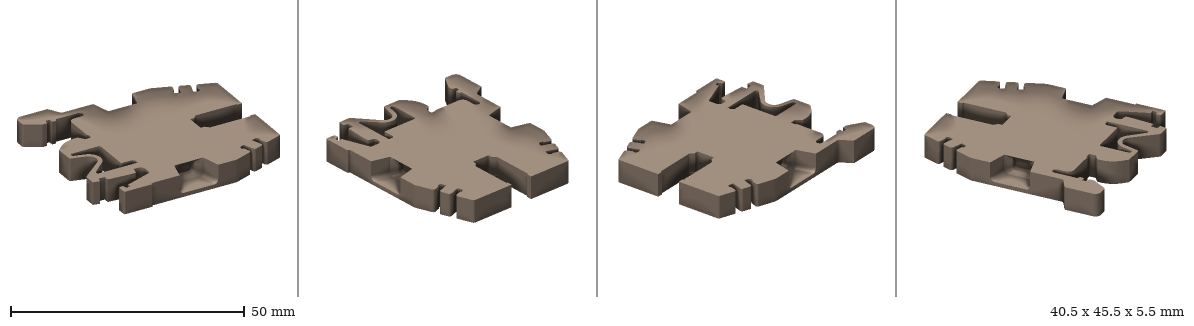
import cadquery as cq
import math

thickness = 5.5
height = 45.5
body_half_width = 18.5
body_bottom = 9.55
floor_thickness = 0.95

flank_angle = math.radians(20)
shoulder_y = 31.85
shoulder_radius = 1.8
top_corner_radius = 0.55
tooth_start = 6.05
tooth_end = 8.8
slot_width = 1.25
slot_head_width = 1.55
slot_head_start = 2.1
slot_depth = 3.15
slot_mouth_radius = 0.55
slot_head_radius = 0.7

lip_half_width = 2.78
lip_height = 1.27
entry_half_width = 3.1
entry_bottom = 34.12
ledge_half_width = 2.25
ledge_chamfer = entry_half_width - ledge_half_width
ledge_bottom = 32.3

left_foot_x = -21.48
right_foot_x = 19.0
catch_y = 6.05
notch_floor_y = 5.05
notch_lip_y = 4.82
left_slit_outer_x = -16.6
left_slit_inner_x = -15.0
left_slit_top = 13.65
left_slit_radius = 0.77
left_foot_root_y = 9.85
left_foot_top = 8.05
left_toe_radius = 1.35
left_toe_end_x = -18.2
left_hook_x = -15.95
left_hook_top = 7.05
left_hook_shoulder_y = 7.4
left_notch_x = -17.05
middle_foot_bottom = 1.0
middle_foot_left_x = -7.15
middle_foot_toe_x = -4.28
middle_foot_shoulder_y = 7.25
middle_foot_bend_y = 3.9
middle_foot_radius = 6.15
neck_x = -5.75
neck_bottom = 8.33
neck_top = 9.85
leg_left_x = 9.05
leg_notch_x = 11.1
leg_slit_x = 12.8
leg_slit_top = 12.8
leg_notch_top = 3.4
hook_bottom = 3.7
arm_hook_x = 16.55
arm_notch_x = 17.55
arm_step_y = 10.75

arch_x = 3.05
arch_y = 4.1
arch_outer_radius = 2.95
arch_inner_radius = 1.95
arch_left_lean = math.radians(15)
arch_inner_slope = math.radians(50)
arch_outer_slope = math.radians(47)
window_left_x = -1.5
window_step_x = 7.5
window_bottom = 2.1

recess_y = 22.48
pocket_half_width = 4.8
pocket_depth = 4.4
pocket_taper = math.radians(15)
pocket_radius = 1.05
funnel_depth = 1.2
roof_drop = 0.7
hole_half_width = 2.2
hole_floor = 1.6
hole_depth = 1.5
hole_radius = 0.8


def rounded_outline(corners):
    """Closed wire through (x, y, radius) corners; each corner is rounded by a tangent arc."""
    wire = None
    for i, (x, y, radius) in enumerate(corners):
        corner = cq.Vector(x, y)
        before = (cq.Vector(*corners[i - 1][:2]) - corner).normalized()
        after = (cq.Vector(*corners[(i + 1) % len(corners)][:2]) - corner).normalized()
        half_angle = before.getAngle(after) / 2
        setback = radius / math.tan(half_angle)
        start = corner + before * setback
        if wire is None:
            wire = cq.Workplane("XY").moveTo(start.x, start.y)
        else:
            wire = wire.lineTo(start.x, start.y)
        if radius > 0:
            bisector = (before + after).normalized()
            middle = corner + bisector * (radius / math.sin(half_angle) - radius)
            end = corner + after * setback
            wire = wire.threePointArc((middle.x, middle.y), (end.x, end.y))
    return wire.close()


def mirrored(corners):
    """The same corners on the +X side, in reversed order."""
    return [(-x, y, radius) for x, y, radius in reversed(corners)]


def flank_corner(along, inward, radius):
    """Corner on the left flank, measured along it from the shoulder and inward from it."""
    x = -body_half_width + along * math.sin(flank_angle) + inward * math.cos(flank_angle)
    y = shoulder_y + along * math.cos(flank_angle) - inward * math.sin(flank_angle)
    return (x, y, radius)


def marker_slot(tooth_edge, direction):
    """Slot corners from the tooth inward and back out; the head widens away from the tooth."""
    mouth_edge = tooth_edge + direction * slot_width
    head_edge = tooth_edge + direction * slot_head_width
    return [
        flank_corner(tooth_edge, 0, slot_mouth_radius),
        flank_corner(tooth_edge, slot_depth, 0),
        flank_corner(head_edge, slot_depth, slot_head_radius),
        flank_corner(head_edge, slot_head_start, 0),
        flank_corner(mouth_edge, slot_head_start, 0),
        flank_corner(mouth_edge, 0, slot_mouth_radius),
    ]


def arch_normals(slope):
    """Outward normals of the left and right straight sides of the arch."""
    left = cq.Vector(-math.cos(arch_left_lean), math.sin(arch_left_lean))
    right = cq.Vector(math.sin(slope), math.cos(slope))
    return left, right


def arch_apex(radius, slope):
    """Corner where the straight sides meet; rounding it by the radius gives the arch."""
    left, right = arch_normals(slope)
    offset = (left + right) * (radius / (1 + left.dot(right)))
    return (arch_x + offset.x, arch_y + offset.y, radius)


def arch_side_x(radius, normal, y):
    """X on a straight side of the arch at height y."""
    return arch_x + (radius - normal.y * (y - arch_y)) / normal.x


top_corner_along = (height - shoulder_y) / math.cos(flank_angle)
left_upper_side = [
    (-entry_half_width, entry_bottom, 0),
    (-entry_half_width, height - lip_height, 0),
    (-lip_half_width, height - lip_height, 0),
    (-lip_half_width, height, 0),
    flank_corner(top_corner_along, 0, top_corner_radius),
    *reversed(marker_slot(tooth_end, 1)),
    *marker_slot(tooth_start, -1),
    (-body_half_width, shoulder_y, shoulder_radius),
]

left_foot = [
    (-body_half_width, left_foot_root_y, 0.9),
    (left_foot_x, left_foot_top, 0),
    (left_foot_x, 0, left_toe_radius),
    (left_toe_end_x, 0, 0.55),
    (left_hook_x, hook_bottom, 0),
    (left_hook_x, notch_lip_y, 0),
    (left_notch_x, notch_floor_y, 0),
    (left_notch_x, catch_y, 0),
    (left_hook_x, catch_y, 0),
    (left_hook_x, left_hook_top, 0.25),
    (left_slit_outer_x, left_hook_shoulder_y, 0),
]

left_slit = [
    (left_slit_outer_x, left_slit_top, left_slit_radius),
    (left_slit_inner_x, left_slit_top, left_slit_radius),
    (left_slit_inner_x, body_bottom, 1.35),
]

inner_left, inner_right = arch_normals(arch_inner_slope)
middle_foot_and_spring = [
    (middle_foot_left_x, body_bottom, 0),
    (middle_foot_left_x, neck_top, 0),
    (neck_x, neck_top, 0),
    (neck_x, neck_bottom, 0),
    (middle_foot_left_x, middle_foot_shoulder_y, 0.35),
    (middle_foot_left_x, middle_foot_bend_y, middle_foot_radius),
    (middle_foot_toe_x, middle_foot_bottom, 0),
    (arch_side_x(arch_inner_radius, inner_left, middle_foot_bottom), middle_foot_bottom, 0.35),
    arch_apex(arch_inner_radius, arch_inner_slope),
    (arch_side_x(arch_inner_radius, inner_right, 0), 0, 0.77),
]

leg = [
    (11.9, 0, 0.15),
    (12.25, 1.65, 0),
    (leg_notch_x, 1.85, 0),
    (leg_notch_x, leg_notch_top, 0),
    (12.38, leg_notch_top, 0),
    (leg_slit_x, 8.65, 0),
    (leg_slit_x, 10.25, 0.35),
    (leg_notch_x, 10.55, 0.45),
    (leg_notch_x, leg_slit_top, 1.15),
]

arm = [
    (14.2, leg_slit_top, 0.7),
    (arm_hook_x, catch_y, 0),
    (arm_notch_x, catch_y, 0),
    (arm_notch_x, notch_floor_y, 0),
    (arm_hook_x, notch_lip_y, 0),
    (arm_hook_x, hook_bottom, 0.35),
    (right_foot_x, hook_bottom, 0.3),
    (right_foot_x, arm_step_y, 0.2),
    (body_half_width, arm_step_y, 0),
]

outline = left_upper_side + left_foot + left_slit + middle_foot_and_spring + leg + arm
outline += mirrored(left_upper_side)
plate = rounded_outline(outline).extrude(thickness)

outer_left, outer_right = arch_normals(arch_outer_slope)
leg_root_y = arch_y + (arch_outer_radius - outer_right.x * (leg_left_x - arch_x)) / outer_right.y
window = rounded_outline([
    (window_left_x, body_bottom, 0.35),
    (window_step_x, body_bottom, 0.15),
    (window_step_x, leg_slit_top, 0.75),
    (leg_left_x, leg_slit_top, 0),
    (leg_left_x, leg_root_y, 0.5),
    arch_apex(arch_outer_radius, arch_outer_slope),
    (arch_side_x(arch_outer_radius, outer_left, window_bottom), window_bottom, 0.5),
    (window_left_x, window_bottom, 0.45),
]).extrude(thickness)

ledge_side = [
    (-entry_half_width, entry_bottom, 0),
    (-ledge_half_width, entry_bottom - ledge_chamfer, 0),
    (-ledge_half_width, ledge_bottom, 0),
]
ledge = rounded_outline(ledge_side + mirrored(ledge_side)).extrude(thickness)
ledge = ledge.translate((0, 0, floor_thickness))


def recess_section(section, half_width, floor, radius):
    """Add a section, open at the top face, with rounded corners at its floor."""
    diagonal = radius * (1 - math.sqrt(0.5))
    return (
        section.moveTo(-half_width, thickness)
        .lineTo(-half_width, floor + radius)
        .threePointArc((-half_width + diagonal, floor + diagonal), (-half_width + radius, floor))
        .lineTo(half_width - radius, floor)
        .threePointArc((half_width - diagonal, floor + diagonal), (half_width, floor + radius))
        .lineTo(half_width, thickness)
        .close()
    )


def side_recess():
    """Pocket, funnel and blind hole cut into the left side."""
    inner_half_width = pocket_half_width - pocket_depth * math.tan(pocket_taper)
    roof = thickness - roof_drop
    funnel_x = -body_half_width + pocket_depth
    hole_x = funnel_x + funnel_depth

    mouth = cq.Workplane("YZ", origin=(-body_half_width, recess_y, 0))
    pocket = recess_section(mouth, pocket_half_width, floor_thickness, pocket_radius)
    pocket = pocket.workplane(offset=pocket_depth)
    pocket = recess_section(pocket, inner_half_width, floor_thickness, pocket_radius).loft(ruled=True)

    funnel = cq.Workplane("YZ", origin=(funnel_x, recess_y, 0))
    funnel = recess_section(funnel, inner_half_width, floor_thickness, pocket_radius)
    funnel = funnel.workplane(offset=funnel_depth)
    funnel = recess_section(funnel, hole_half_width, hole_floor, hole_radius).loft(ruled=True)
    below_roof = (
        cq.Workplane("XZ", origin=(0, recess_y, 0))
        .moveTo(funnel_x, 0)
        .lineTo(hole_x, 0)
        .lineTo(hole_x, roof)
        .lineTo(funnel_x + roof_drop, roof)
        .lineTo(funnel_x, thickness)
        .close()
        .extrude(pocket_half_width, both=True)
    )

    hole = (
        cq.Workplane("YZ", origin=(hole_x, recess_y, (hole_floor + roof) / 2))
        .rect(2 * hole_half_width, roof - hole_floor)
        .extrude(hole_depth)
        .edges("|X")
        .fillet(hole_radius)
    )
    return pocket.union(funnel.intersect(below_roof)).union(hole)


left_recess = side_recess()
right_recess = left_recess.mirror("YZ")

result = plate.cut(window).cut(ledge).cut(left_recess).cut(right_recess)